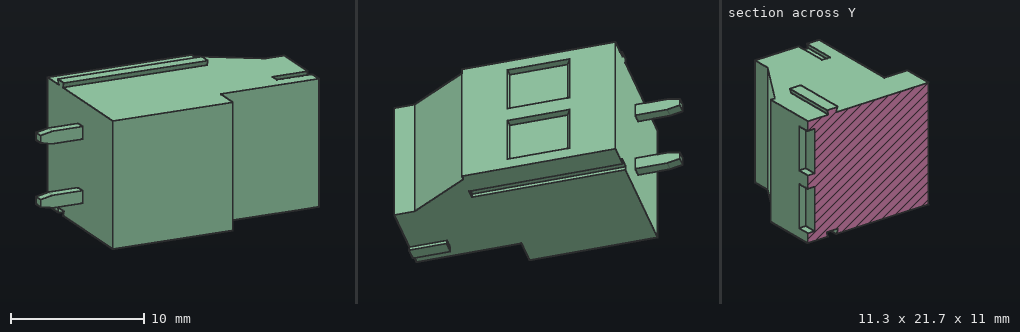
import cadquery as cq


PITCH = 5.08
POLES = 2
WIDTH = 11.3
LENGTH = 18.2
HEIGHT = POLES * PITCH
LEFT = -WIDTH / 2
RIGHT = WIDTH / 2
TOP = HEIGHT / 2
BOTTOM = -HEIGHT / 2

BASE_LENGTH = 12.0
LEDGE = 0.4
NOSE_INSET = 3.14
SLOPE_END = 16.6
SHOULDER_DEPTH = 2.15
SHOULDER_Y = 10.0

DOVETAIL_HEIGHT = 0.4
DOVETAIL_WIDE = 1.03
DOVETAIL_NARROW = 0.75
LONG_DOVETAIL_X = LEFT + 2.3
SHORT_DOVETAIL_X = LEFT + 7.6
SHORT_DOVETAIL_LENGTH = 2.95

POCKET_DEPTH = 0.62
POCKET_Y_MIN = 3.56
POCKET_Y_MAX = 8.43
POCKET_RAMP = 0.36
POCKET_HEIGHT = 3.66
POCKET_EDGE_WALL = 0.85
POCKET_Z = TOP - POCKET_EDGE_WALL - POCKET_HEIGHT / 2

PIN_WIDTH = 0.8
PIN_X = 0.03
PIN_HEIGHT = 1.0
PIN_LENGTH = 3.5
PIN_TIP_LENGTH = 1.0
PIN_TIP_HEIGHT = 0.6


def make_housing():
    """Stepped outline in XY, extruded over the full height."""
    outline = [
        (LEFT, 0),
        (RIGHT, 0),
        (RIGHT, SHOULDER_Y),
        (RIGHT - SHOULDER_DEPTH, SHOULDER_Y),
        (RIGHT - SHOULDER_DEPTH, LENGTH),
        (LEFT + NOSE_INSET, LENGTH),
        (LEFT + NOSE_INSET, SLOPE_END),
        (LEFT + LEDGE, BASE_LENGTH),
        (LEFT, BASE_LENGTH),
    ]
    return cq.Workplane("XY").polyline(outline).close().extrude(HEIGHT / 2, both=True)


def make_dovetail(x, z_narrow, z_wide, y_start, length):
    """Dovetail bar along Y, narrow at z_narrow and wide at z_wide."""
    profile = [
        (x - DOVETAIL_NARROW / 2, z_narrow),
        (x + DOVETAIL_NARROW / 2, z_narrow),
        (x + DOVETAIL_WIDE / 2, z_wide),
        (x - DOVETAIL_WIDE / 2, z_wide),
    ]
    plane = cq.Workplane("XZ", origin=(0, y_start, 0))
    return plane.polyline(profile).close().extrude(-length)


def make_pocket(z):
    """Shallow pocket in the left side with a ramp at its pin end."""
    outline = [
        (LEFT, POCKET_Y_MIN),
        (LEFT + POCKET_DEPTH, POCKET_Y_MIN + POCKET_RAMP),
        (LEFT + POCKET_DEPTH, POCKET_Y_MAX),
        (LEFT, POCKET_Y_MAX),
    ]
    plane = cq.Workplane("XY", origin=(0, 0, z))
    return plane.polyline(outline).close().extrude(POCKET_HEIGHT / 2, both=True)


def make_pin(z):
    """Rectangular pin along -Y, its tip tapered in height only."""
    shank_end = PIN_TIP_LENGTH - PIN_LENGTH
    outline = [
        (0, z - PIN_HEIGHT / 2),
        (shank_end, z - PIN_HEIGHT / 2),
        (-PIN_LENGTH, z - PIN_TIP_HEIGHT / 2),
        (-PIN_LENGTH, z + PIN_TIP_HEIGHT / 2),
        (shank_end, z + PIN_HEIGHT / 2),
        (0, z + PIN_HEIGHT / 2),
    ]
    plane = cq.Workplane("YZ", origin=(PIN_X, 0, 0))
    return plane.polyline(outline).close().extrude(PIN_WIDTH / 2, both=True)


def add_long_dovetails(body):
    """Rib on the top face and groove in the bottom face, at the pin end."""
    rib = make_dovetail(LONG_DOVETAIL_X, TOP, TOP + DOVETAIL_HEIGHT, 0, BASE_LENGTH)
    groove = make_dovetail(LONG_DOVETAIL_X, BOTTOM, BOTTOM + DOVETAIL_HEIGHT, 0, BASE_LENGTH)
    return body.union(rib).cut(groove)


def add_short_dovetails(body):
    """Rib on the bottom face and groove in the top face, at the nose end."""
    y_start = LENGTH - SHORT_DOVETAIL_LENGTH
    rib = make_dovetail(
        SHORT_DOVETAIL_X, BOTTOM, BOTTOM - DOVETAIL_HEIGHT, y_start, SHORT_DOVETAIL_LENGTH
    )
    groove = make_dovetail(
        SHORT_DOVETAIL_X, TOP, TOP - DOVETAIL_HEIGHT, y_start, SHORT_DOVETAIL_LENGTH
    )
    return body.union(rib).cut(groove)


result = make_housing()
result = add_long_dovetails(result)
result = add_short_dovetails(result)

for side in (-1, 1):
    result = result.cut(make_pocket(side * POCKET_Z))
    result = result.union(make_pin(side * PITCH / 2))